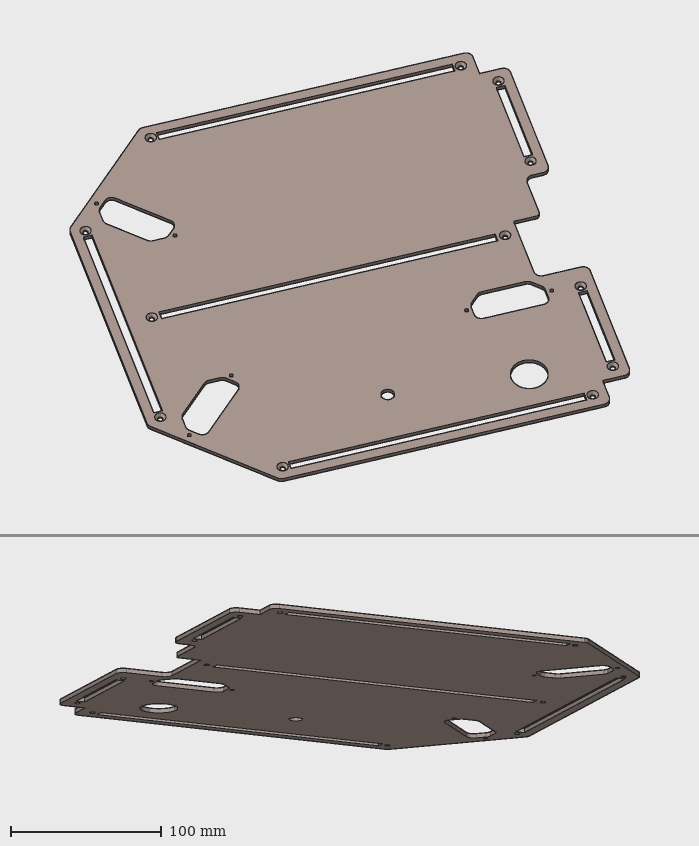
import cadquery as cq

half_size = 160.0
thickness = 3.0
corner_cut = 70.5
corner_radius = 5.0

tab_outer_x = 140.0
shoulder_y = 140.0
left_tab_inner_x = -45.0
right_tab_inner_x = 41.0
step_x = -10.0
step_y = 142.5
recess_y = 124.0
step_inner_radius = 5.0
step_outer_radius = 3.0

screw_diameter = 3.5
countersink_diameter = 7.5
countersink_angle = 90.0
slot_width = 6.0
slot_gap = 5.0
centre_slot_gap = 6.0
edge_offset = 10.0
screw_line = half_size - edge_offset
side_screw_top_y = shoulder_y - edge_offset
side_screw_low_y = -85.0
front_screw_x = 85.0
tab_screw_inner_x = 57.0
tab_screw_outer_x = tab_outer_x - edge_offset
centre_screw_top_y = 115.0
centre_screw_low_y = -130.0

window_left = 12.5
window_right = 10.0
window_length = 51.5
window_bevel = 8.5
window_corner_radius = 5.0
mount_spacing = 59.0
mount_diameter = 2.5
rear_window = (55.0, 101.0)
front_window_x = 84.7
front_window_y = -115.3
front_window_turn = 45.0

large_hole = (120.5, 95.0)
large_hole_diameter = 25.0
small_hole = (110.0, 0.0)
small_hole_diameter = 9.0


def near(points):
    """Selector for the vertical edges standing at the given XY points."""
    reach = 0.1
    selector = None
    for x, y in points:
        low = (x - reach, y - reach, 0)
        high = (x + reach, y + reach, thickness)
        one = cq.selectors.BoxSelector(low, high)
        selector = one if selector is None else selector + one
    return selector


def make_plate():
    """Plate blank with its outer corners and the recess corners rounded."""
    cut_end = half_size - corner_cut
    rounded = [
        (-half_size, -cut_end),
        (-half_size, shoulder_y),
        (-tab_outer_x, half_size),
        (left_tab_inner_x, half_size),
        (right_tab_inner_x, half_size),
        (tab_outer_x, half_size),
        (half_size, shoulder_y),
        (half_size, -cut_end),
        (cut_end, -half_size),
        (-cut_end, -half_size),
    ]
    outline = [
        (-cut_end, -half_size),
        (-half_size, -cut_end),
        (-half_size, shoulder_y),
        (-tab_outer_x, shoulder_y),
        (-tab_outer_x, half_size),
        (left_tab_inner_x, half_size),
        (left_tab_inner_x, step_y),
        (step_x, step_y),
        (step_x, recess_y),
        (right_tab_inner_x, recess_y),
        (right_tab_inner_x, half_size),
        (tab_outer_x, half_size),
        (tab_outer_x, shoulder_y),
        (half_size, shoulder_y),
        (half_size, -cut_end),
        (cut_end, -half_size),
    ]
    plate = cq.Workplane("XY").polyline(outline).close().extrude(thickness)
    plate = plate.edges("|Z").edges(near(rounded)).fillet(corner_radius)
    inner_corners = [(left_tab_inner_x, step_y), (right_tab_inner_x, recess_y)]
    plate = plate.edges("|Z").edges(near(inner_corners)).fillet(step_inner_radius)
    return plate.edges("|Z").edges(near([(step_x, step_y)])).fillet(step_outer_radius)


def cut_slot_set(plate, start, end, gap=slot_gap):
    """Cut two countersunk screw holes and the slot on the line between them."""
    x0, y0 = start
    x1, y1 = end
    length = abs(x1 - x0) + abs(y1 - y0) - 2 * gap
    size = (length, slot_width) if y0 == y1 else (slot_width, length)
    slot = cq.Workplane("XY").center((x0 + x1) / 2, (y0 + y1) / 2).rect(*size).extrude(thickness)
    top = cq.Workplane("XY", origin=(0, 0, thickness))
    plate = plate.cut(slot)
    return plate.copyWorkplane(top).pushPoints([start, end]).cskHole(
        screw_diameter, countersink_diameter, countersink_angle
    )


def make_window(centre, turn):
    """Cutter for one window and its mounting holes, turned about its local origin."""
    half_length = window_length / 2
    outline = [
        (window_right, -half_length),
        (window_right, half_length),
        (window_bevel - window_left, half_length),
        (-window_left, half_length - window_bevel),
        (-window_left, window_bevel - half_length),
        (window_bevel - window_left, -half_length),
    ]
    window = cq.Workplane("XY").polyline(outline).close().extrude(thickness)
    window = window.edges("|Z").fillet(window_corner_radius)
    mounts = (
        cq.Workplane("XY")
        .pushPoints([(0, mount_spacing / 2), (0, -mount_spacing / 2)])
        .circle(mount_diameter / 2)
        .extrude(thickness)
    )
    cutter = window.union(mounts)
    return cutter.rotate((0, 0, 0), (0, 0, 1), turn).translate((*centre, 0))


def round_cutter(centre, diameter):
    """Cutter for one plain round through hole."""
    return cq.Workplane("XY").center(*centre).circle(diameter / 2).extrude(thickness)


result = make_plate()

for side in (-1, 1):
    result = cut_slot_set(
        result,
        (side * screw_line, side_screw_low_y),
        (side * screw_line, side_screw_top_y),
    )
    result = cut_slot_set(
        result,
        (side * tab_screw_inner_x, screw_line),
        (side * tab_screw_outer_x, screw_line),
    )
result = cut_slot_set(result, (-front_screw_x, -screw_line), (front_screw_x, -screw_line))
result = cut_slot_set(result, (0, centre_screw_low_y), (0, centre_screw_top_y), centre_slot_gap)

result = result.cut(make_window(rear_window, 0))
result = result.cut(make_window((-front_window_x, front_window_y), 180 - front_window_turn))
result = result.cut(make_window((front_window_x, front_window_y), front_window_turn))

result = result.cut(round_cutter(large_hole, large_hole_diameter))
result = result.cut(round_cutter(small_hole, small_hole_diameter))